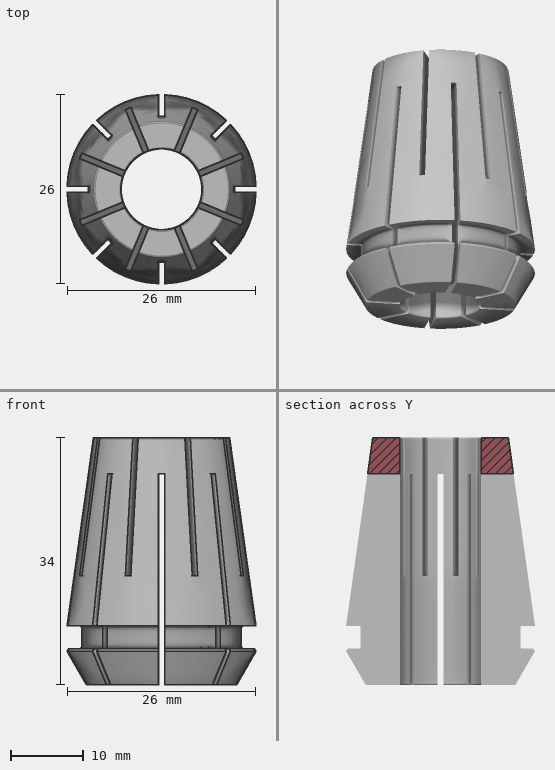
import cadquery as cq
import math

height = 34.0
outer_diameter = 25.98
bore_diameter = 11.12

nose_angle = 30.0
rim_height = 4.65
rim_bevel_height = 0.35
rim_bevel_width = 0.27

groove_diameter = 22.0
groove_top = 8.13
groove_fillet = 0.2

taper_angle = 8.0
edge_fillet = 0.2

slots_per_end = 8
slot_width = 0.8
lower_slot_top = 29.0
upper_slot_bottom = 15.0

outer_radius = outer_diameter / 2
groove_radius = groove_diameter / 2
bore_radius = bore_diameter / 2
groove_bottom = rim_height + rim_bevel_height
nose_end_radius = outer_radius - rim_height * math.tan(math.radians(nose_angle))
top_radius = outer_radius - (height - groove_top) * math.tan(math.radians(taper_angle))
slot_pitch = 360.0 / slots_per_end


def collet_body():
    """Turned collet, with its groove, edge fillets and through bore."""
    body = (
        cq.Workplane("XZ")
        .moveTo(bore_radius, 0)
        .lineTo(nose_end_radius, 0)
        .lineTo(outer_radius, rim_height)
        .lineTo(outer_radius - rim_bevel_width, groove_bottom)
        .lineTo(groove_radius, groove_bottom)
        .lineTo(groove_radius, groove_top)
        .lineTo(outer_radius, groove_top)
        .lineTo(top_radius, height)
        .lineTo(bore_radius, height)
        .close()
        .revolve(360, (0, 0, 0), (0, 1, 0))
    )
    groove_edges = body.edges("%CIRCLE").filter(
        lambda edge: math.isclose(edge.radius(), groove_radius)
    )
    body = groove_edges.fillet(groove_fillet)
    return body.faces("<Z or >Z").edges("%CIRCLE").fillet(edge_fillet)


def radial_slots(bottom, top, first_angle):
    """Ring of flat-ended slots that run outward from the axis through the wall."""
    slots = cq.Workplane("XY")
    for index in range(slots_per_end):
        slot = (
            cq.Workplane("XY")
            .workplane(offset=bottom)
            .rect(outer_diameter, slot_width)
            .extrude(top - bottom)
            .translate((outer_radius, 0, 0))
            .rotate((0, 0, 0), (0, 0, 1), first_angle + index * slot_pitch)
        )
        slots = slots.add(slot)
    return slots.combine()


lower_slots = radial_slots(0, lower_slot_top, 0)
upper_slots = radial_slots(upper_slot_bottom, height, slot_pitch / 2)

result = collet_body().cut(lower_slots).cut(upper_slots)